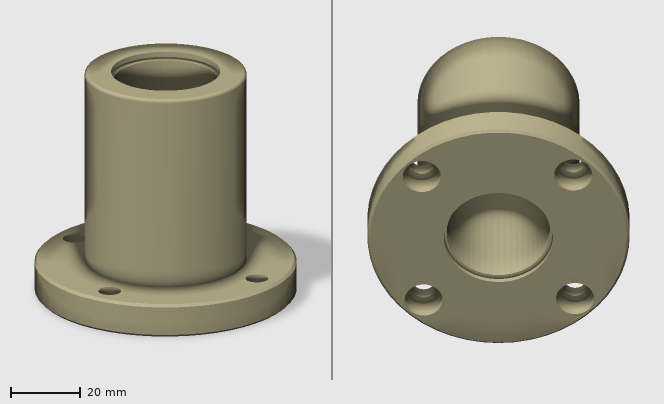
import cadquery as cq

flange_diameter = 76.0
flange_thickness = 10.0
flange_chamfer = 0.75

total_height = 68.0
sleeve_diameter = 47.0
sleeve_top_fillet = 1.0

bore_diameter = 30.0
lip_diameter = 31.6
groove_diameter = 33.2
lip_depth = 1.5
groove_depth = 2.35

hole_count = 4
hole_diameter = 6.6
bolt_circle_diameter = 62.0
counterbore_diameter = 11.0
counterbore_depth = 6.0


def make_flange():
    """Round flange with both rims chamfered."""
    disc = cq.Workplane("XY").circle(flange_diameter / 2).extrude(flange_thickness)
    return disc.edges().chamfer(flange_chamfer)


def make_sleeve():
    """Solid sleeve with a rounded top rim."""
    cylinder = cq.Workplane("XY").circle(sleeve_diameter / 2).extrude(total_height)
    return cylinder.faces(">Z").edges().fillet(sleeve_top_fillet)


def make_disc(diameter, bottom, top):
    """Solid disc on the Z axis between two heights."""
    return cq.Workplane("XY").workplane(offset=bottom).circle(diameter / 2).extrude(top - bottom)


def make_bore():
    """Through bore with a lip opening and a wider groove at each end."""
    bore = make_disc(bore_diameter, 0, total_height)
    bore = bore.union(make_disc(lip_diameter, 0, lip_depth))
    bore = bore.union(make_disc(groove_diameter, lip_depth, groove_depth))
    bore = bore.union(make_disc(groove_diameter, total_height - groove_depth, total_height - lip_depth))
    return bore.union(make_disc(lip_diameter, total_height - lip_depth, total_height))


def make_bolt_circle_pins(diameter, height):
    """Pins rising from the flange underside, spaced evenly on the bolt circle."""
    return (
        cq.Workplane("XY")
        .polarArray(bolt_circle_diameter / 2, 0, 360, hole_count)
        .circle(diameter / 2)
        .extrude(height)
    )


through_holes = make_bolt_circle_pins(hole_diameter, flange_thickness)
counterbores = make_bolt_circle_pins(counterbore_diameter, counterbore_depth)

body = make_flange().union(make_sleeve())
result = body.cut(make_bore()).cut(through_holes).cut(counterbores)